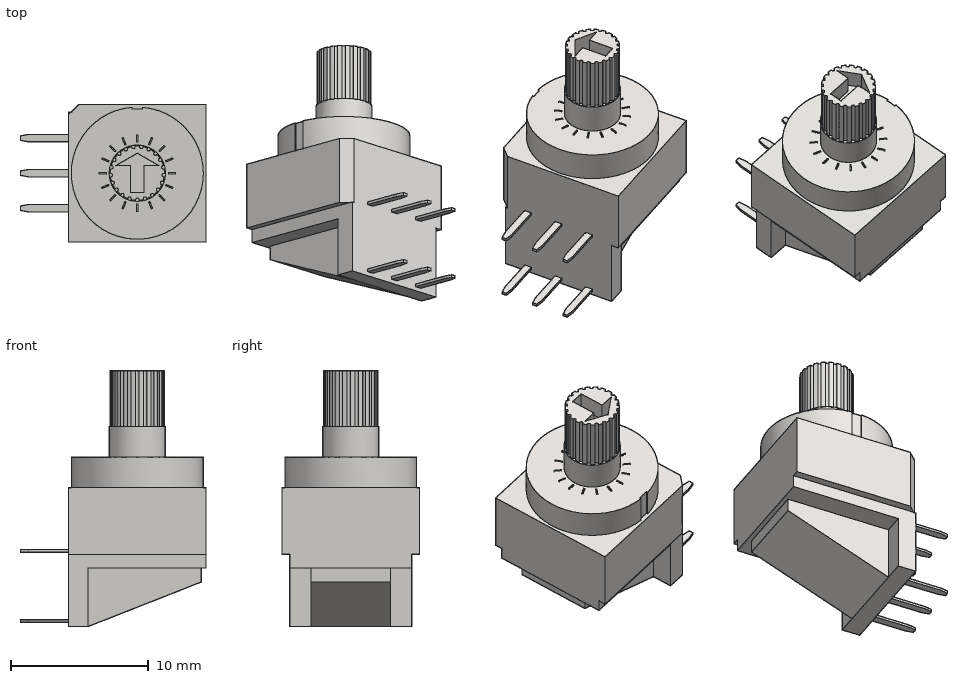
import cadquery as cq

body_side = 10.0
body_bottom = 5.25
body_top = 10.1
corner_chamfer = 0.75

dial_diameter = 9.6
dial_top = 12.31
notch_width = 0.78
notch_inner_radius = 4.67

mark_count = 16
mark_inner_radius = 2.25
mark_length = 0.54
mark_width = 0.1
mark_depth = 0.1

shaft_diameter = 4.1
shaft_step = 14.55
overall_height = 18.6
grip_diameter = 3.95
groove_count = 21
groove_width = 0.25
groove_depth = 0.17

arrow_tip_y = 1.45
arrow_shoulder_y = 0.54
arrow_tail_y = -1.4
arrow_half_width = 1.58
arrow_stem_half_width = 0.5
arrow_depth = 1.49

bracket_width = 8.9
bracket_leg = 1.43
bracket_arm_bottom = 4.26
web_width = 5.77
web_end_inset = 0.35
web_end_bottom = 3.24

pin_length = 3.5
pin_width = 0.55
pin_tip_width = 0.33
pin_tip_length = 0.6
pin_thickness = 0.2
pin_pitch = 2.55
pin_bottom_row = 0.4
pin_top_row = pin_bottom_row + 2 * pin_pitch

body_left = -body_side / 2
body_right = body_side / 2


def cylinder(diameter, bottom, top):
    return cq.Workplane("XY").workplane(offset=bottom).circle(diameter / 2).extrude(top - bottom)


def side_profile(points, width):
    """Extrude an outline of (x, z) points, centred on the XZ plane."""
    return cq.Workplane("XZ").polyline(points).close().extrude(width / 2, both=True)


def make_housing():
    housing = cq.Workplane("XY").workplane(offset=body_bottom).rect(body_side, body_side)
    housing = housing.extrude(body_top - body_bottom)
    return housing.edges("|Z and <X and >Y").chamfer(corner_chamfer)


def make_dial():
    dial = cylinder(dial_diameter, body_top, dial_top)
    rim_depth = dial_diameter / 2 - notch_inner_radius
    notch = (
        cq.Workplane("XY")
        .workplane(offset=body_top)
        .center(0, notch_inner_radius + rim_depth)
        .rect(notch_width, 2 * rim_depth)
        .extrude(dial_top - body_top)
    )
    marks = (
        cq.Workplane("XY")
        .workplane(offset=dial_top - mark_depth)
        .polarArray(mark_inner_radius + mark_length / 2, 0, 360, mark_count)
        .rect(mark_length, mark_width)
        .extrude(mark_depth)
    )
    return dial.cut(notch).cut(marks)


def make_shaft():
    plain = cylinder(shaft_diameter, dial_top, shaft_step)
    grip = cylinder(grip_diameter, shaft_step, overall_height)
    grooves = (
        cq.Workplane("XY")
        .workplane(offset=shaft_step)
        .polarArray(grip_diameter / 2, -90, 360, groove_count)
        .slot2D(2 * groove_depth, groove_width)
        .extrude(overall_height - shaft_step)
    )
    arrow = (
        cq.Workplane("XY")
        .workplane(offset=overall_height - arrow_depth)
        .moveTo(0, arrow_tip_y)
        .lineTo(arrow_half_width, arrow_shoulder_y)
        .lineTo(arrow_stem_half_width, arrow_shoulder_y)
        .lineTo(arrow_stem_half_width, arrow_tail_y)
        .lineTo(-arrow_stem_half_width, arrow_tail_y)
        .lineTo(-arrow_stem_half_width, arrow_shoulder_y)
        .lineTo(-arrow_half_width, arrow_shoulder_y)
        .close()
        .extrude(arrow_depth)
    )
    return plain.union(grip.cut(grooves).cut(arrow))


def make_bracket():
    leg_right = body_left + bracket_leg
    web_right = body_right - web_end_inset
    bracket = side_profile(
        [
            (body_left, 0),
            (leg_right, 0),
            (leg_right, bracket_arm_bottom),
            (body_right, bracket_arm_bottom),
            (body_right, body_bottom),
            (body_left, body_bottom),
        ],
        bracket_width,
    )
    web = side_profile(
        [
            (leg_right, 0),
            (web_right, web_end_bottom),
            (web_right, bracket_arm_bottom),
            (leg_right, bracket_arm_bottom),
        ],
        web_width,
    )
    return bracket.union(web)


def make_pin(y, z):
    """Flat pin with a tapered tip, centred on height z."""
    tip = body_left - pin_length
    taper_start = tip + pin_tip_length
    return (
        cq.Workplane("XY")
        .workplane(offset=z - pin_thickness / 2)
        .moveTo(body_left, y - pin_width / 2)
        .lineTo(taper_start, y - pin_width / 2)
        .lineTo(tip, y - pin_tip_width / 2)
        .lineTo(tip, y + pin_tip_width / 2)
        .lineTo(taper_start, y + pin_width / 2)
        .lineTo(body_left, y + pin_width / 2)
        .close()
        .extrude(pin_thickness)
    )


result = make_housing().union(make_dial()).union(make_shaft()).union(make_bracket())
for row_height in (pin_bottom_row, pin_top_row):
    for position in (-1, 0, 1):
        result = result.union(make_pin(position * pin_pitch, row_height))